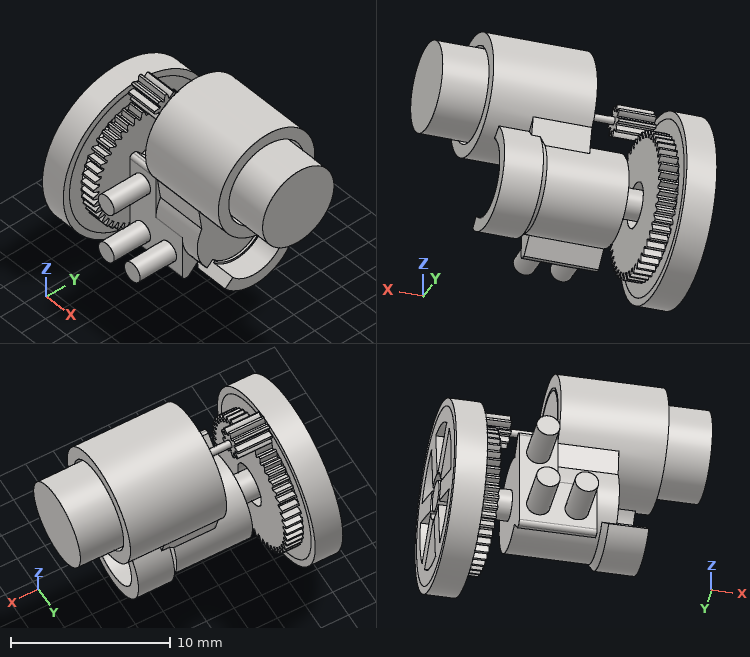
import cadquery as cq
import math


WHEEL_WIDTH = 2.01
TYRE_RADIUS = 6.25
WHEEL_RADIUS = 5.73
HUB_BORE_RADIUS = 1.5
POCKET_RADIUS = 4.7
SPOKE_COUNT = 6
SPOKE_WIDTH = 1.29
SPOKE_ANGLE = -7.2

GEAR_END = 3.22
GEAR_TEETH = 47
GEAR_TIP_RADIUS = 4.78
GEAR_ROOT_RADIUS = 4.33
GEAR_PHASE = -2.0

PINION_START = 2.2
PINION_END = 4.7
PINION_TEETH = 9
PINION_TIP_RADIUS = 1.07
PINION_ROOT_RADIUS = 0.65
PINION_PHASE = 95

TOOTH_ROOT_SHARE = 0.76
TOOTH_MIDDLE_SHARE = 0.53
TOOTH_TIP_SHARE = 0.22

AXLE_RADIUS = 1.0
HOUSING_START = 4.73
HUB_RADIUS = 3.06
HUB_END = 11.16

MOTOR_Y = 0.1
MOTOR_RADIUS = 3.0
MOTOR_START = 7.22
MOTOR_END = 17.2
SHAFT_RADIUS = 0.25
SLEEVE_RADIUS = 4.05
SLEEVE_BORE_RADIUS = 3.16
SLEEVE_LENGTH = 6.95
MOTOR_Z = 5.8
WEB_BOTTOM_Z = 1.48
WEB_TOP_Z = 3.13

PLATE_HALF_HEIGHT = 3.61
PLATE_RIM_THICKNESS = 0.52
PLATE_EDGE_RADIUS = 0.3
PLATE_END = 9.74

SHELL_START = 10.22
SHELL_END = 13.2
SHELL_RADIUS = 3.44
SHELL_CHAMFER = SHELL_RADIUS - HUB_RADIUS
SHELL_BORE_RADIUS = 2.55
SHELL_LIP_RADIUS = 2.4
SHELL_LIP_END = 11.35
SHELL_FIRST_ANGLE = -137
SHELL_LAST_ANGLE = 60

PIN_RADIUS = 0.75
PIN_TIP_Y = -6.1
PIN_X = 5.95
PIN_Z = 2.01
PIN_PITCH_X = 2.48


def plane_at(x):
    """Sketch plane across X, with local axes along Y and Z."""
    return cq.Workplane("YZ", origin=(x, 0, 0))


def disc(start, end, radius, y=0.0, z=0.0):
    """Cylinder along X."""
    return plane_at(start).center(y, z).circle(radius).extrude(end - start)


def polar(radius, degrees):
    """Point in the YZ plane, with the angle measured from +Y toward +Z."""
    angle = math.radians(degrees)
    return radius * math.cos(angle), radius * math.sin(angle)


def toothed_disc(start, end, teeth, tip_radius, root_radius, phase):
    """Spur gear along X with one tooth centred on the phase angle."""
    pitch = 360 / teeth
    half_root = TOOTH_ROOT_SHARE * pitch / 2
    half_middle = TOOTH_MIDDLE_SHARE * pitch / 2
    half_tip = TOOTH_TIP_SHARE * pitch / 2
    middle_radius = (root_radius + tip_radius) / 2
    outline = plane_at(start).moveTo(*polar(root_radius, phase - half_root))
    for index in range(teeth):
        middle = phase + index * pitch
        rising_tip = polar(tip_radius, middle - half_tip)
        falling_tip = polar(tip_radius, middle + half_tip)
        falling_root = polar(root_radius, middle + half_root)
        next_root = polar(root_radius, middle + pitch - half_root)
        outline = (
            outline.threePointArc(polar(middle_radius, middle - half_middle), rising_tip)
            .threePointArc(polar(tip_radius, middle), falling_tip)
            .threePointArc(polar(middle_radius, middle + half_middle), falling_root)
            .threePointArc(polar(root_radius, middle + pitch / 2), next_root)
        )
    return outline.close().extrude(end - start)


def make_tyre():
    return disc(0, WHEEL_WIDTH, TYRE_RADIUS).cut(disc(0, WHEEL_WIDTH, WHEEL_RADIUS))


def make_gear_wheel():
    """Spoked wheel with the gear closing the back of its pockets."""
    pockets = disc(0, WHEEL_WIDTH, POCKET_RADIUS)
    for index in range(SPOKE_COUNT // 2):
        bar = plane_at(0).rect(SPOKE_WIDTH, 2 * WHEEL_RADIUS).extrude(WHEEL_WIDTH)
        angle = SPOKE_ANGLE + index * 360 / SPOKE_COUNT
        pockets = pockets.cut(bar.rotate((0, 0, 0), (1, 0, 0), angle))
    wheel = disc(0, WHEEL_WIDTH, WHEEL_RADIUS).cut(pockets)
    gear = toothed_disc(
        WHEEL_WIDTH, GEAR_END, GEAR_TEETH, GEAR_TIP_RADIUS, GEAR_ROOT_RADIUS, GEAR_PHASE
    )
    return wheel.union(gear).cut(disc(0, GEAR_END, HUB_BORE_RADIUS))


def make_axle():
    return disc(0, HOUSING_START, AXLE_RADIUS)


def make_pinion():
    pinion = toothed_disc(
        PINION_START, PINION_END, PINION_TEETH, PINION_TIP_RADIUS, PINION_ROOT_RADIUS, PINION_PHASE
    )
    return pinion.translate((0, MOTOR_Y, MOTOR_Z))


def make_motor():
    """Motor can with its shaft reaching the back of the pinion."""
    can = disc(MOTOR_START, MOTOR_END, MOTOR_RADIUS, MOTOR_Y, MOTOR_Z)
    return can.union(disc(PINION_END, MOTOR_START, SHAFT_RADIUS, MOTOR_Y, MOTOR_Z))


def make_web():
    """Neck with flat sides between the hub and the sleeve."""
    hub_half_width = math.sqrt(HUB_RADIUS**2 - WEB_BOTTOM_Z**2)
    sleeve_half_width = math.sqrt(SLEEVE_RADIUS**2 - (MOTOR_Z - WEB_TOP_Z) ** 2)
    outline = [
        (-hub_half_width, WEB_BOTTOM_Z),
        (hub_half_width, WEB_BOTTOM_Z),
        (MOTOR_Y + sleeve_half_width, WEB_TOP_Z),
        (MOTOR_Y - sleeve_half_width, WEB_TOP_Z),
    ]
    return plane_at(MOTOR_START).polyline(outline).close().extrude(HUB_END - MOTOR_START)


def make_plate():
    """L-shaped plate, flush with the hub at -Y, whose rims slope back to the hub at 45 degrees."""
    rim_y = PLATE_RIM_THICKNESS - HUB_RADIUS
    outline = [
        (-HUB_RADIUS, -PLATE_HALF_HEIGHT),
        (rim_y, -PLATE_HALF_HEIGHT),
        (rim_y + PLATE_HALF_HEIGHT, 0),
        (rim_y, PLATE_HALF_HEIGHT),
        (-HUB_RADIUS, PLATE_HALF_HEIGHT),
    ]
    plate = plane_at(HOUSING_START).polyline(outline).close().extrude(PLATE_END - HOUSING_START)
    plate = plate.edges("|X and <Y").fillet(PLATE_EDGE_RADIUS)
    upper_corner = cq.Workplane("XY").box(
        PLATE_END - MOTOR_START, 2 * HUB_RADIUS, PLATE_HALF_HEIGHT, centered=(False, True, False)
    )
    return plate.cut(upper_corner.translate((MOTOR_START, 0, 0)))


def make_shell():
    """Part-round shell with a chamfered front end and a lip where its bore meets the hub."""
    profile = [
        (SHELL_START, SHELL_LIP_RADIUS),
        (SHELL_START, HUB_RADIUS),
        (SHELL_START + SHELL_CHAMFER, SHELL_RADIUS),
        (SHELL_END, SHELL_RADIUS),
        (SHELL_END, SHELL_BORE_RADIUS),
        (SHELL_LIP_END, SHELL_BORE_RADIUS),
        (SHELL_LIP_END, SHELL_LIP_RADIUS),
    ]
    sweep = SHELL_LAST_ANGLE - SHELL_FIRST_ANGLE
    shell = cq.Workplane("XY").polyline(profile).close().revolve(sweep, (0, 0, 0), (1, 0, 0))
    return shell.rotate((0, 0, 0), (1, 0, 0), SHELL_FIRST_ANGLE)


def make_housing():
    sleeve_end = MOTOR_START + SLEEVE_LENGTH
    housing = disc(HOUSING_START, HUB_END, HUB_RADIUS)
    housing = housing.union(make_plate())
    housing = housing.union(make_shell())
    housing = housing.union(make_web())
    housing = housing.union(disc(MOTOR_START, sleeve_end, SLEEVE_RADIUS, MOTOR_Y, MOTOR_Z))
    bore = disc(MOTOR_START, sleeve_end, SLEEVE_BORE_RADIUS, MOTOR_Y, MOTOR_Z)
    return housing.cut(bore)


def make_pin(x, z):
    """Pin standing on the plate and pointing toward -Y."""
    base = cq.Workplane("XZ", origin=(x, -HUB_RADIUS, z))
    return base.circle(PIN_RADIUS).extrude(-HUB_RADIUS - PIN_TIP_Y)


tyre = make_tyre()
gear_wheel = make_gear_wheel()
axle = make_axle()
pinion = make_pinion()
motor = make_motor()
housing = make_housing()

pin_places = [(PIN_X, PIN_Z), (PIN_X, -PIN_Z), (PIN_X + PIN_PITCH_X, -PIN_Z)]
pins = [make_pin(x, z) for x, z in pin_places]

result = cq.Compound.makeCompound(
    [
        tyre.val(),
        gear_wheel.val(),
        axle.val(),
        pinion.val(),
        motor.val(),
        housing.val(),
        *[pin.val() for pin in pins],
    ]
)